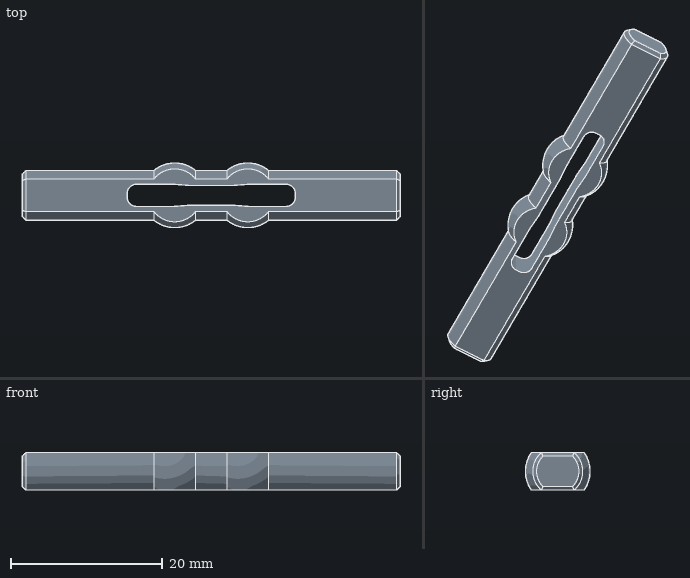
import cadquery as cq

length = 50.0
thickness = 5.0
bar_diameter = 6.6
end_chamfer = 0.5
ball_diameter = 8.6
ball_offset = 4.83

slot_length = 22.2
slot_width = 2.9
slot_corner_radius = 1.2
waist_width = 2.6
waist_half_length = 3.0
taper_half_length = 5.0


def round_bar():
    """Cylinder along X, centred on the origin."""
    return cq.Workplane("YZ").circle(bar_diameter / 2).extrude(length / 2, both=True)


def grip_ball(x_centre):
    """Ball centred on the bar axis."""
    return cq.Workplane("XY").sphere(ball_diameter / 2).translate((x_centre, 0, 0))


def flats_envelope():
    """Block that trims the bar and balls to the top and bottom flats."""
    return cq.Workplane("XY").box(length, ball_diameter, thickness)


def slot_cutter():
    """Through slot with rounded corners and a slightly narrower waist."""
    half_length = slot_length / 2
    half_width = slot_width / 2
    half_waist = waist_width / 2
    upper_side = [
        (-half_length, half_width),
        (-taper_half_length, half_width),
        (-waist_half_length, half_waist),
        (waist_half_length, half_waist),
        (taper_half_length, half_width),
        (half_length, half_width),
    ]
    lower_side = [(x, -y) for x, y in reversed(upper_side)]
    slot = cq.Workplane("XY").polyline(upper_side + lower_side).close()
    slot = slot.extrude(thickness / 2, both=True)
    return slot.faces("<X or >X").edges("|Z").fillet(slot_corner_radius)


bar = round_bar().intersect(flats_envelope())
bar = bar.faces("<X or >X").chamfer(end_chamfer)

balls = grip_ball(-ball_offset).union(grip_ball(ball_offset))
balls = balls.intersect(flats_envelope())

result = bar.union(balls).cut(slot_cutter())